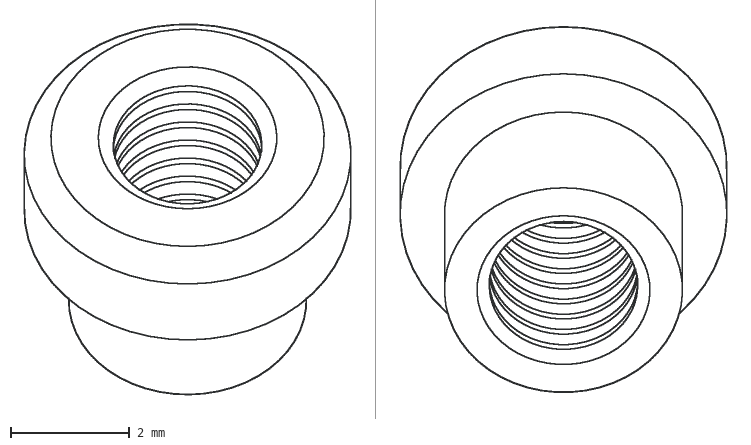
import cadquery as cq

flange_diameter = 5.5
flange_height = 2.0
flange_chamfer = 0.45
shank_diameter = 4.005
shank_height = 2.495
total_height = shank_height + flange_height

mouth_radius = 1.5
root_radius = 1.485
crest_radius = 1.25
ring_count = 9
pitch = total_height / ring_count
crest_height = 0.155
flank_height = (pitch - crest_height) / 2
mouth_depth = 0.02


def make_body():
    shank = cq.Workplane("XY").circle(shank_diameter / 2).extrude(shank_height)
    flange = (
        cq.Workplane("XY")
        .workplane(offset=shank_height)
        .circle(flange_diameter / 2)
        .extrude(flange_height)
        .faces(">Z")
        .edges()
        .chamfer(flange_chamfer)
    )
    return shank.union(flange)


def make_threaded_bore():
    """Revolve the bore profile, narrowed to the crest radius at every ring."""
    points = [(0, total_height), (mouth_radius, total_height)]
    for ring in range(ring_count):
        root_z = total_height - mouth_depth - ring * pitch
        crest_top_z = root_z - flank_height
        points += [
            (root_radius, root_z),
            (crest_radius, crest_top_z),
            (crest_radius, crest_top_z - crest_height),
        ]
    lowest_groove_height = flank_height - mouth_depth
    flank_run = root_radius - crest_radius
    bottom_radius = crest_radius + flank_run * lowest_groove_height / flank_height
    points += [(bottom_radius, 0), (0, 0)]
    return cq.Workplane("XZ").polyline(points).close().revolve(360, (0, 0, 0), (0, 1, 0))


result = make_body().cut(make_threaded_bore())